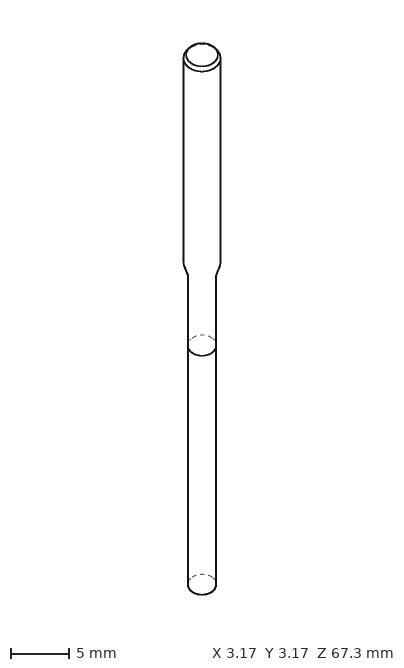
import cadquery as cq
import math

overall_length = 67.3
shank_radius = 3.175 / 2
drill_radius = 2.438 / 2
point_angle = 130.0
flute_length = 30.7
neck_top = 39.7
shank_bottom = 41.1
top_chamfer_width = 0.23
top_chamfer_height = 0.4

point_height = drill_radius / math.tan(math.radians(point_angle / 2))


def revolve_profile(points):
    """Turn a closed (radius, height) outline around the Z axis."""
    return cq.Workplane("XZ").polyline(points).close().revolve(360, (0, 0), (0, 1))


def make_cutting_part():
    """Cylindrical cutting length ending in a conical drill point."""
    return revolve_profile([
        (0, 0),
        (drill_radius, point_height),
        (drill_radius, flute_length),
        (0, flute_length),
    ])


def make_shank():
    """Neck, conical transition and shank with a chamfered end."""
    return revolve_profile([
        (0, flute_length),
        (drill_radius, flute_length),
        (drill_radius, neck_top),
        (shank_radius, shank_bottom),
        (shank_radius, overall_length - top_chamfer_height),
        (shank_radius - top_chamfer_width, overall_length),
        (0, overall_length),
    ])


cutting_part = make_cutting_part()
shank = make_shank()

result = cq.Compound.makeCompound([cutting_part.val(), shank.val()])